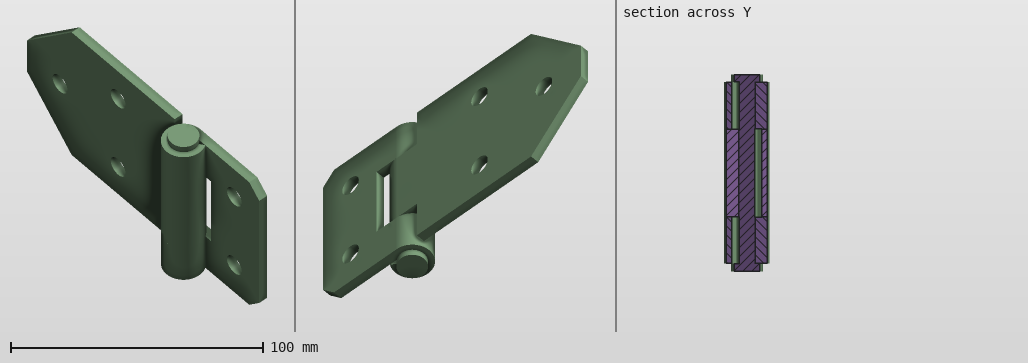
import cadquery as cq
import math

total_length = 140.0
axis_to_long_end = 100.0
axis_to_short_end = total_length - axis_to_long_end

knuckle_diameter = 18.0
leaf_thickness = 4.2
outer_radius = knuckle_diameter / 2
bore_radius = outer_radius - leaf_thickness
leaf_height = 72.0
middle_knuckle_height = 35.0
end_knuckle_height = (leaf_height - middle_knuckle_height) / 2
roll_end_angle = 32.0
slot_reach = 10.9

pin_height = 78.0
pin_head_diameter = 12.6
pin_head_height = (pin_height - leaf_height) / 2

long_leaf_chamfer = 27.0
short_leaf_chamfer = 6.0
screw_hole_diameter = 9.0
screw_hole_z = 20.0
end_hole_inset = 20.0
long_leaf_hole_x = -45.0
short_leaf_hole_x = 25.0


def make_plate(side, reach, chamfer, hole_points):
    """Flat part of a leaf, running from its cutout edge to its chamfered free end."""
    half_height = leaf_height / 2
    outline = [
        (side * slot_reach, -half_height),
        (side * (reach - chamfer), -half_height),
        (side * reach, -half_height + chamfer),
        (side * reach, half_height - chamfer),
        (side * (reach - chamfer), half_height),
        (side * slot_reach, half_height),
    ]
    back_plane = cq.Workplane("XZ", origin=(0, outer_radius, 0))
    plate = back_plane.polyline(outline).close().extrude(leaf_thickness)
    holes = back_plane.pushPoints(hole_points).circle(screw_hole_diameter / 2).extrude(leaf_thickness)
    return plate.cut(holes)


def make_knuckle(side, bottom, height):
    """Strip leaving the plate and rolled around the pin, ending in a radial cut below the plate."""
    end_angle = math.radians(roll_end_angle)
    end_x = side * math.cos(end_angle)
    end_y = math.sin(end_angle)
    middle_angle = (math.pi / 2 + 2 * math.pi + end_angle) / 2
    middle_x = side * math.cos(middle_angle)
    middle_y = math.sin(middle_angle)
    return (
        cq.Workplane("XY", origin=(0, 0, bottom))
        .moveTo(side * slot_reach, outer_radius)
        .lineTo(0, outer_radius)
        .threePointArc(
            (outer_radius * middle_x, outer_radius * middle_y),
            (outer_radius * end_x, outer_radius * end_y),
        )
        .lineTo(bore_radius * end_x, bore_radius * end_y)
        .threePointArc(
            (bore_radius * middle_x, bore_radius * middle_y),
            (0, bore_radius),
        )
        .lineTo(side * slot_reach, bore_radius)
        .close()
        .extrude(height)
    )


def make_long_leaf():
    """Pointed leaf on the -X side with the single middle knuckle."""
    hole_points = [
        (end_hole_inset - axis_to_long_end, 0),
        (long_leaf_hole_x, -screw_hole_z),
        (long_leaf_hole_x, screw_hole_z),
    ]
    plate = make_plate(-1, axis_to_long_end, long_leaf_chamfer, hole_points)
    knuckle = make_knuckle(-1, -middle_knuckle_height / 2, middle_knuckle_height)
    return plate.union(knuckle)


def make_short_leaf():
    """Short leaf on the +X side with a knuckle at each end."""
    hole_points = [(short_leaf_hole_x, -screw_hole_z), (short_leaf_hole_x, screw_hole_z)]
    leaf = make_plate(1, axis_to_short_end, short_leaf_chamfer, hole_points)
    for bottom in (-leaf_height / 2, middle_knuckle_height / 2):
        leaf = leaf.union(make_knuckle(1, bottom, end_knuckle_height))
    return leaf


def make_pin():
    """Shank filling the knuckle bores, with a head resting on each end knuckle."""
    pin = cq.Workplane("XY", origin=(0, 0, -pin_height / 2)).circle(bore_radius).extrude(pin_height)
    for bottom in (-pin_height / 2, leaf_height / 2):
        head = (
            cq.Workplane("XY", origin=(0, 0, bottom))
            .circle(pin_head_diameter / 2)
            .extrude(pin_head_height)
        )
        pin = pin.union(head)
    return pin


long_leaf = make_long_leaf()
short_leaf = make_short_leaf()
pin = make_pin()

result = cq.Compound.makeCompound([long_leaf.solids().val(), short_leaf.solids().val(), pin.solids().val()])